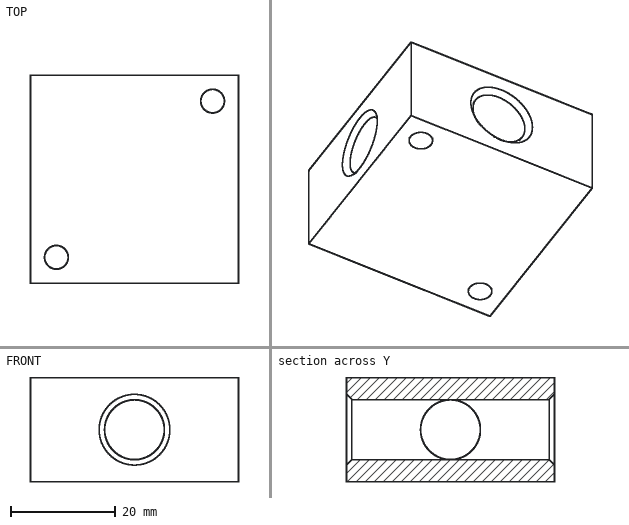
import cadquery as cq

side = 40.0
height = 20.0

port_diameter = 11.45
port_mouth_diameter = 13.6
port_chamfer = (port_mouth_diameter - port_diameter) / 2

mount_diameter = 4.5
mount_edge_distance = 5.0
mount_offset = side / 2 - mount_edge_distance


def port_cutter():
    """Bore along X through the block, flared at both mouths."""
    bore_radius = port_diameter / 2
    mouth_radius = port_mouth_diameter / 2
    half_length = side / 2
    flare_start = half_length - port_chamfer
    profile = (
        cq.Workplane("XY")
        .moveTo(-half_length, 0)
        .lineTo(-half_length, mouth_radius)
        .lineTo(-flare_start, bore_radius)
        .lineTo(flare_start, bore_radius)
        .lineTo(half_length, mouth_radius)
        .lineTo(half_length, 0)
        .close()
    )
    return profile.revolve(360, (0, 0, 0), (1, 0, 0))


def mount_cutter():
    """The two through holes along Z, at opposite corners."""
    centers = [(sign * mount_offset, sign * mount_offset) for sign in (-1, 1)]
    return (
        cq.Workplane("XY")
        .workplane(offset=-height / 2)
        .pushPoints(centers)
        .circle(mount_diameter / 2)
        .extrude(height)
    )


block = cq.Workplane("XY").box(side, side, height)
for port_angle in (0, 90):
    block = block.cut(port_cutter().rotate((0, 0, 0), (0, 0, 1), port_angle))

result = block.cut(mount_cutter())